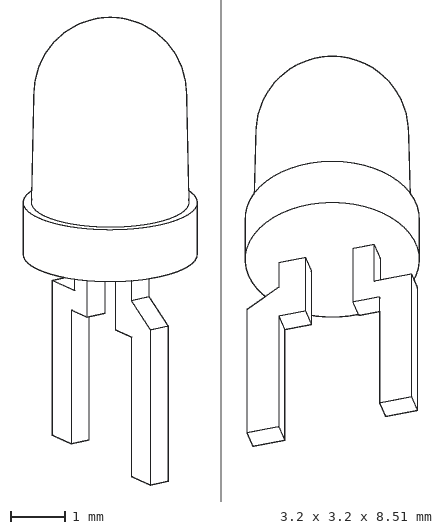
import cadquery as cq

total_height = 8.51
lens_height = 4.51
flange_radius = 1.6
flange_height = 1.0
barrel_base_radius = 1.45
dome_radius = 1.4
dome_start_z = lens_height - dome_radius

lead_thickness = 0.4
lead_inner_x = 0.45
lead_outer_x = 1.575
leg_width = 0.61
leg_inner_x = lead_outer_x - leg_width
foot_z = -1.3

short_lead_bottom_z = -3.89
short_lead_neck_width = 0.41
short_lead_shoulder_z = foot_z + short_lead_neck_width

long_lead_bottom_z = lens_height - total_height
slope_top_z = -0.595
slope_bottom_z = -0.995


def make_lens():
    """Flanged, slightly tapered barrel closed by a hemispherical dome."""
    dome_centre = cq.Vector(0, dome_start_z)
    dome_middle = dome_centre + cq.Vector(1, 1).normalized() * dome_radius
    return (
        cq.Workplane("XZ")
        .lineTo(flange_radius, 0)
        .lineTo(flange_radius, flange_height)
        .lineTo(barrel_base_radius, flange_height)
        .lineTo(dome_radius, dome_start_z)
        .threePointArc((dome_middle.x, dome_middle.y), (0, lens_height))
        .close()
        .revolve(360, (0, 0), (0, 1))
    )


def make_lead(outline):
    """Flat strip cut to an XZ outline, with its thickness centred on Y = 0."""
    return cq.Workplane("XZ").polyline(outline).close().extrude(lead_thickness / 2, both=True)


def make_short_lead():
    """Lead on the -X side, stepping outward at a square shoulder."""
    neck_outer_x = lead_inner_x + short_lead_neck_width
    return make_lead([
        (-lead_inner_x, 0),
        (-neck_outer_x, 0),
        (-neck_outer_x, short_lead_shoulder_z),
        (-lead_outer_x, short_lead_shoulder_z),
        (-lead_outer_x, short_lead_bottom_z),
        (-leg_inner_x, short_lead_bottom_z),
        (-leg_inner_x, foot_z),
        (-lead_inner_x, foot_z),
    ])


def make_long_lead():
    """Lead on the +X side, stepping outward along a sloped shoulder."""
    return make_lead([
        (lead_inner_x, 0),
        (leg_inner_x, 0),
        (leg_inner_x, slope_top_z),
        (lead_outer_x, slope_bottom_z),
        (lead_outer_x, long_lead_bottom_z),
        (leg_inner_x, long_lead_bottom_z),
        (leg_inner_x, foot_z),
        (lead_inner_x, foot_z),
    ])


lens = make_lens()
short_lead = make_short_lead()
long_lead = make_long_lead()

result = cq.Compound.makeCompound([lens.val(), short_lead.val(), long_lead.val()])